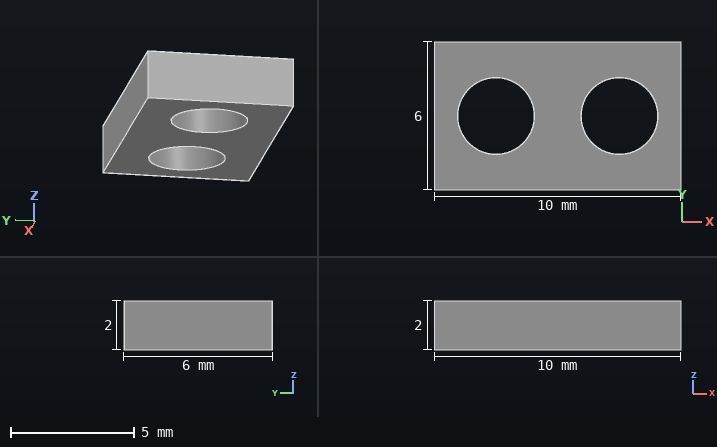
import cadquery as cq

length = 10.0
width = 6.0
thickness = 2.0

hole_diameter = 3.1
hole_spacing = length / 2

plate = cq.Workplane("XY").box(length, width, thickness)

result = (
    plate.faces(">Z")
    .workplane()
    .rarray(hole_spacing, 0.1, 2, 1)
    .hole(hole_diameter)
)